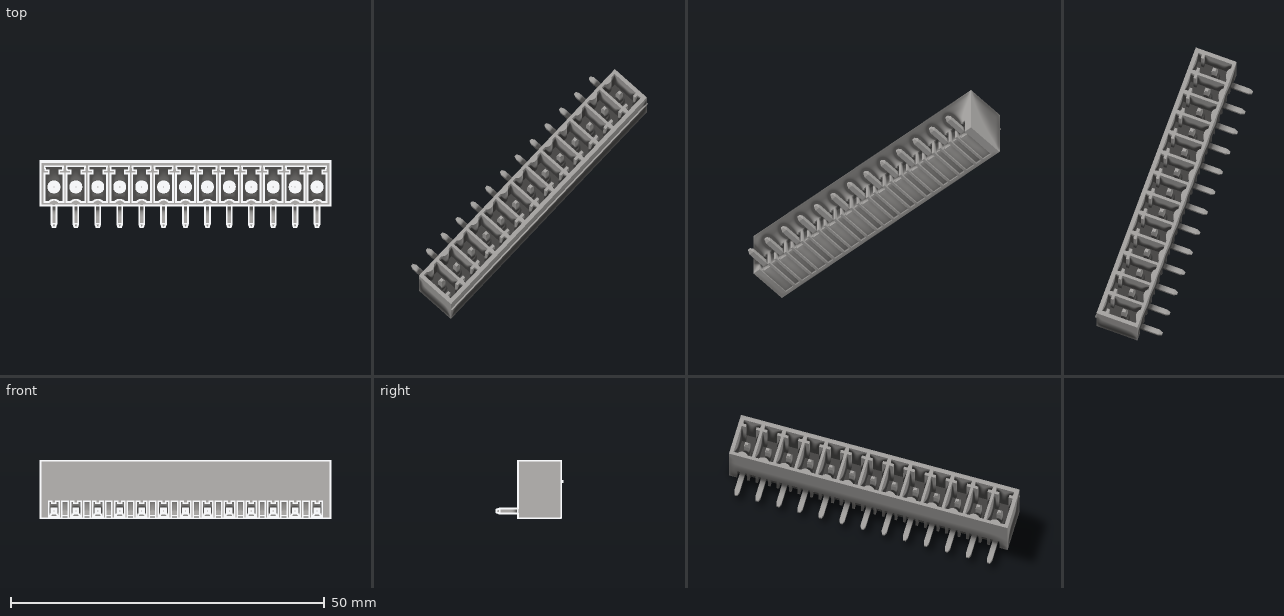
import cadquery as cq

LENGTH = 46.3
DEPTH = 6.95
HEIGHT = 9.2
REAR_EDGE_CHAMFER = 0.15

POLES = 13
ROW_LENGTH = 42.0
PITCH = ROW_LENGTH / (POLES - 1)
FIRST_POLE_X = (LENGTH - ROW_LENGTH) / 2
POLE_Y = 2.95

FLOOR_Z = 3.05
CAVITY_WIDTH = 3.05
CAVITY_FRONT_Y = 0.5
CAVITY_REAR_Y = 5.15
CAVITY_DRAFT = 0.6
NECK_WIDTH = 1.65
NECK_REAR_Y = 5.6
KEY_FRONT_WIDTH = 2.8
KEY_REAR_WIDTH = 2.95
KEY_REAR_Y = 6.25
BULGE_WIDTH = 1.65
BULGE_REAR_Y = 0.93

PIN_SIZE = 0.85
PIN_TIP_SIZE = 0.4
PIN_TIP_LENGTH = 0.55
PIN_TOP_Z = 7.85
PIN_FRONT_Y = -3.45
PIN_Z = 1.15
COLLAR_BASE_DIAMETER = 1.8
COLLAR_TOP_DIAMETER = 1.35
COLLAR_HEIGHT = 0.35

WINDOW_TOP_Z = 2.7
WINDOW_DEPTH = 0.6
PIN_WINDOW_WIDTH = 1.65
PIN_RELIEF_HEIGHT = 0.3
GAP_WINDOW_WIDTH = 1.0
GAP_RELIEF_HEIGHT = 0.4
RELIEF_REAR_Y = 6.25
TAB_WIDTH = 0.65
TAB_HEIGHT = 0.3
LEAD_IN_WIDTH = 1.3
LEAD_IN_DEPTH = 0.25

BEAD_Z = 5.9
BEAD_HEIGHT = 0.3
BEAD_PROJECTION = 0.25

pole_xs = [FIRST_POLE_X + i * PITCH for i in range(POLES)]
gap_xs = [x + PITCH / 2 for x in pole_xs[:-1]]


def block(x, width, y0, y1, z0, z1):
    """Box centred on x, between the given Y and Z limits."""
    return cq.Workplane("XY").box(width, y1 - y0, z1 - z0).translate((x, (y0 + y1) / 2, (z0 + z1) / 2))


def housing_body():
    body = cq.Workplane("XY").box(LENGTH, DEPTH, HEIGHT, centered=False)
    body = body.edges(">Y and <Z").chamfer(REAR_EDGE_CHAMFER)
    bead = block(
        LENGTH / 2, LENGTH, DEPTH, DEPTH + BEAD_PROJECTION, BEAD_Z - BEAD_HEIGHT / 2, BEAD_Z + BEAD_HEIGHT / 2
    )
    return body.union(bead)


def cavity(x):
    """Drafted pocket with a necked keyway behind it and a bulge on its front wall."""
    depth = HEIGHT - FLOOR_Z
    pocket = (
        cq.Workplane("XY", origin=(x, (CAVITY_FRONT_Y + CAVITY_REAR_Y) / 2, HEIGHT))
        .rect(CAVITY_WIDTH, CAVITY_REAR_Y - CAVITY_FRONT_Y)
        .extrude(-depth, taper=CAVITY_DRAFT)
    )
    neck = block(x, NECK_WIDTH, POLE_Y, NECK_REAR_Y, FLOOR_Z, HEIGHT)
    key = (
        cq.Workplane("XY", origin=(x, 0, FLOOR_Z))
        .moveTo(-KEY_FRONT_WIDTH / 2, NECK_REAR_Y)
        .lineTo(KEY_FRONT_WIDTH / 2, NECK_REAR_Y)
        .lineTo(KEY_REAR_WIDTH / 2, KEY_REAR_Y)
        .lineTo(-KEY_REAR_WIDTH / 2, KEY_REAR_Y)
        .close()
        .extrude(depth)
    )
    bulge = (
        cq.Workplane("XY", origin=(x, 0, FLOOR_Z))
        .moveTo(-BULGE_WIDTH / 2, CAVITY_FRONT_Y)
        .threePointArc((0, BULGE_REAR_Y), (BULGE_WIDTH / 2, CAVITY_FRONT_Y))
        .close()
        .extrude(depth)
    )
    return pocket.cut(bulge).union(neck).union(key)


def window(x, width, relief_height):
    """Front window, with a shallow relief running back under the housing."""
    opening = block(x, width, 0, WINDOW_DEPTH, 0, WINDOW_TOP_Z)
    relief = block(x, width, 0, RELIEF_REAR_Y, 0, relief_height)
    return opening.union(relief)


def lead_in(x):
    """Flared slope below the pin, cut into the back of its window."""
    bottom_z = PIN_RELIEF_HEIGHT
    top_z = PIN_Z - PIN_SIZE / 2
    rear_y = WINDOW_DEPTH + LEAD_IN_DEPTH
    flare = (
        cq.Workplane("XZ", origin=(x, WINDOW_DEPTH, 0))
        .moveTo(-LEAD_IN_WIDTH / 2, bottom_z)
        .lineTo(LEAD_IN_WIDTH / 2, bottom_z)
        .lineTo(PIN_SIZE / 2, top_z)
        .lineTo(-PIN_SIZE / 2, top_z)
        .close()
        .extrude(-LEAD_IN_DEPTH)
    )
    slope = (
        cq.Workplane("YZ", origin=(x - LEAD_IN_WIDTH / 2, 0, 0))
        .moveTo(WINDOW_DEPTH, bottom_z)
        .lineTo(rear_y, bottom_z)
        .lineTo(WINDOW_DEPTH, top_z)
        .close()
        .extrude(LEAD_IN_WIDTH)
    )
    return flare.intersect(slope)


def pin_window(x):
    tab = block(x, TAB_WIDTH, 0, WINDOW_DEPTH, WINDOW_TOP_Z - TAB_HEIGHT, WINDOW_TOP_Z)
    return window(x, PIN_WINDOW_WIDTH, PIN_RELIEF_HEIGHT).cut(tab).union(lead_in(x))


def pin_leg(plane, length):
    """Square leg along the plane normal, ending in a tapered tip."""
    shank_length = length - PIN_TIP_LENGTH
    shank = cq.Workplane(plane).rect(PIN_SIZE, PIN_SIZE).extrude(shank_length)
    tip = (
        cq.Workplane(plane)
        .workplane(offset=shank_length)
        .rect(PIN_SIZE, PIN_SIZE)
        .workplane(offset=PIN_TIP_LENGTH)
        .rect(PIN_TIP_SIZE, PIN_TIP_SIZE)
        .loft(combine=True)
    )
    return shank.union(tip)


def pin(x):
    bend = (x, POLE_Y, PIN_Z)
    upright = pin_leg("XY", PIN_TOP_Z - PIN_Z).translate(bend)
    front_leg = pin_leg("XZ", POLE_Y - PIN_FRONT_Y).translate(bend)
    collar = (
        cq.Workplane("XY", origin=(x, POLE_Y, FLOOR_Z))
        .circle(COLLAR_BASE_DIAMETER / 2)
        .workplane(offset=COLLAR_HEIGHT)
        .circle(COLLAR_TOP_DIAMETER / 2)
        .loft(combine=True)
    )
    return upright.union(front_leg).union(collar)


result = housing_body()
for pole_x in pole_xs:
    result = result.cut(cavity(pole_x)).cut(pin_window(pole_x))
for gap_x in gap_xs:
    result = result.cut(window(gap_x, GAP_WINDOW_WIDTH, GAP_RELIEF_HEIGHT))
for pole_x in pole_xs:
    result = result.union(pin(pole_x))